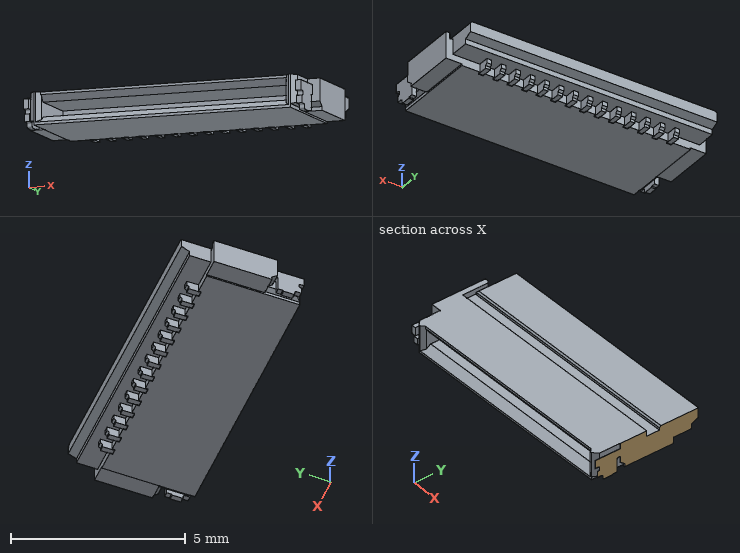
import cadquery as cq


length = 9.0
depth = 3.8
height = 1.0

body_width = 8.23
body_bottom = 0.03
body_corner = 0.16
ear_front = 0.92
ear_back = 2.89
ear_bottom = 0.08
ear_notch_depth = 0.17
ear_notch_top = 0.32
ear_notch_bottom = 0.19
base_width = body_width - 2 * body_corner
base_top = 0.135
base_flare_top = 0.19

cavity_width = 7.53
cavity_bottom = 0.3
cavity_top = 0.72
cavity_depth = 1.8
mouth_width = 7.785
mouth_bottom = 0.11
mouth_top = 0.92
side_lead_in = 0.13
floor_lead_in = 0.29
roof_lead_in = 0.14
roof_setback = 0.11

recess_width = 8.59
recess_front = 1.89
recess_floor = 0.81
recess_corner = 0.08
flap_width = 8.53
flap_front = 2.36
flap_top = 0.945
flap_bottom = 0.3
flap_bevel = 0.05
flap_step = 0.25
flap_step_top = 0.585
flap_step_bottom = 0.47

contact_count = 14
contact_row_span = 6.5
contact_pitch = contact_row_span / (contact_count - 1)
contact_width = 0.16
contact_front = 2.81
contact_back = 3.25
contact_toe = 0.06
contact_toe_bottom = 0.09
contact_toe_top = 0.15

anchor_thickness = 0.16
anchor_top = 0.81
anchor_shoulder = 0.52
anchor_leg_back = 0.81
anchor_foot_front = 0.29
anchor_foot_back = 0.64
anchor_heel_height = 0.03
anchor_slot_depth = 0.16
anchor_slot_top = 0.51
anchor_slot_bottom = 0.38
anchor_tab_front = 0.08
anchor_tab_bottom = 0.15
anchor_round = 0.05


def centred_box(width, y_start, y_end, z_start, z_end):
    """Box centred on X = 0 between the given Y and Z limits."""
    box = cq.Workplane("XY").box(width, y_end - y_start, z_end - z_start, centered=(True, False, False))
    return box.translate((0, y_start, z_start))


def side_profile(points, width, x_centre=0.0):
    """Extrude an outline of (Y, Z) points along X, centred on x_centre."""
    start = x_centre - width / 2
    return cq.Workplane("YZ").workplane(offset=start).polyline(points).close().extrude(width)


def make_housing():
    half_body = body_width / 2
    half_base = base_width / 2
    section = [
        (-half_base, body_bottom),
        (half_base, body_bottom),
        (half_base, base_top),
        (half_body, base_flare_top),
        (half_body, height),
        (-half_body, height),
        (-half_body, base_flare_top),
        (-half_base, base_top),
    ]
    body = cq.Workplane("XZ").polyline(section).close().extrude(-ear_back)
    plan = [
        (-half_body, ear_back),
        (-half_body, body_corner),
        (-half_base, 0),
        (half_base, 0),
        (half_body, body_corner),
        (half_body, ear_back),
    ]
    body = body.intersect(cq.Workplane("XY").polyline(plan).close().extrude(height))
    notch_back = ear_front + ear_notch_depth
    ear_outline = [
        (ear_front, height),
        (ear_front, ear_notch_top),
        (notch_back, ear_notch_bottom),
        (notch_back, ear_bottom),
        (ear_back, ear_bottom),
        (ear_back, height),
    ]
    return body.union(side_profile(ear_outline, length))


def make_mouth():
    """Cable cavity with its flared entrance; the roof edge is set back."""
    cavity = centred_box(cavity_width, 0, cavity_depth, cavity_bottom, cavity_top)
    roof_slope_end = roof_setback + roof_lead_in
    flare_outline = [
        (0, mouth_bottom),
        (floor_lead_in, cavity_bottom),
        (floor_lead_in, cavity_top),
        (roof_slope_end, cavity_top),
        (roof_setback, mouth_top),
        (roof_setback, height),
        (0, height),
    ]
    half_mouth = mouth_width / 2
    half_cavity = cavity_width / 2
    plan = [
        (-half_mouth, 0),
        (half_mouth, 0),
        (half_cavity, side_lead_in),
        (half_cavity, floor_lead_in),
        (-half_cavity, floor_lead_in),
        (-half_cavity, side_lead_in),
    ]
    funnel = cq.Workplane("XY").polyline(plan).close().extrude(height)
    return cavity.union(side_profile(flare_outline, mouth_width).intersect(funnel))


def make_recess():
    half = recess_width / 2
    plan = [
        (-half, recess_front),
        (half, recess_front),
        (half, ear_back - recess_corner),
        (half + recess_corner, ear_back),
        (-half - recess_corner, ear_back),
        (-half, ear_back - recess_corner),
    ]
    recess = cq.Workplane("XY").workplane(offset=recess_floor).polyline(plan).close()
    return recess.extrude(height - recess_floor)


def make_flap():
    outline = [
        (flap_front, flap_bottom),
        (flap_front, flap_top),
        (depth, flap_top),
        (depth, flap_step_top),
        (depth - flap_step, flap_step_bottom),
        (depth - flap_step, flap_bottom),
    ]
    flap = side_profile(outline, flap_width)
    return flap.faces(">Z").edges("<X or >X or <Y").chamfer(flap_bevel)


def make_contact(x_centre):
    outline = [
        (contact_front, 0),
        (contact_back - contact_toe, 0),
        (contact_back - contact_toe, contact_toe_bottom),
        (contact_back, contact_toe_top),
        (contact_back, flap_bottom),
        (contact_front, flap_bottom),
    ]
    return side_profile(outline, contact_width, x_centre)


def make_anchor(side):
    outline = [
        (0, anchor_top),
        (0, anchor_slot_top),
        (anchor_slot_depth, anchor_slot_top),
        (anchor_slot_depth, anchor_slot_bottom),
        (anchor_tab_front, anchor_slot_bottom),
        (anchor_tab_front, anchor_tab_bottom),
        (anchor_foot_front, anchor_tab_bottom),
        (anchor_foot_front, 0),
        (anchor_foot_back, 0),
        (anchor_foot_back + anchor_heel_height, anchor_heel_height),
        (anchor_leg_back, anchor_heel_height),
        (anchor_leg_back, anchor_shoulder),
        (ear_front, anchor_shoulder),
        (ear_front, anchor_top),
    ]
    rounded_corners = [
        (anchor_slot_depth, anchor_slot_top),
        (anchor_slot_depth, anchor_slot_bottom),
        (anchor_foot_front, anchor_tab_bottom),
        (anchor_foot_front, 0),
        (anchor_leg_back, anchor_shoulder),
    ]
    x_centre = side * (body_width + anchor_thickness) / 2
    anchor = side_profile(outline, anchor_thickness, x_centre)
    for y, z in rounded_corners:
        corner = cq.NearestToPointSelector((x_centre, y, z))
        anchor = anchor.edges("|X").edges(corner).fillet(anchor_round)
    return anchor


result = make_housing().cut(make_recess()).cut(make_mouth()).union(make_flap())
for index in range(contact_count):
    contact_x = index * contact_pitch - contact_row_span / 2
    result = result.union(make_contact(contact_x))
for side in (-1, 1):
    result = result.union(make_anchor(side))